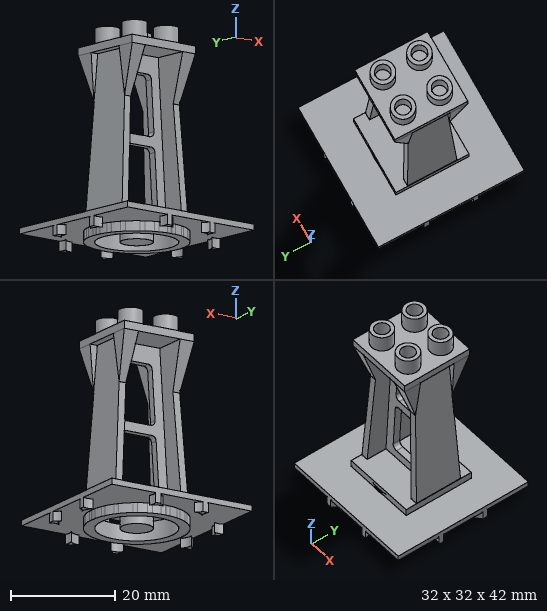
import cadquery as cq
import math

plate_side = 32.0
deck_side = plate_side / 2
step_length = 16.9
step_width = deck_side
wall = 1.6

plate_bottom = 1.97
plate_top = 3.2
step_top = plate_top + wall
total_height = 42.0
stud_height = 3.6
deck_top = total_height - stud_height
deck_bottom = deck_top - wall
flare_bottom = 27.17

stud_diameter = 4.9
stud_bore = 3.2
stud_pitch = deck_side / 2

inner_foot = 6.75
inner_head = 4.75
half_width_foot = 5.4
half_width_head = 4.1

window_margin = 2.0
window_height = 12.2
window_corner = 1.0
lower_window_bottom = 6.8
upper_window_bottom = 21.0

socket_diameter = 16.13
socket_top = 3.8
ring_diameter = 20.5
pin_diameter = 6.4
scallop_radius = stud_diameter / 2
scallop_circle_radius = math.hypot(stud_pitch / 2, 1.5 * stud_pitch)
scallop_angles = (3.0, 18.4, 34.5)
foot_start = 4.8
foot_end = 6.0
foot_depth = 2.15
foot_inner_offset = (-1.18, 1.18)


def at_height(foot_value, head_value, z):
    """Value at height z on a straight taper from the step to the deck."""
    return foot_value + (head_value - foot_value) * (z - step_top) / (deck_bottom - step_top)


def inner_face(z):
    return at_height(inner_foot, inner_head, z)


def half_width(z):
    return at_height(half_width_foot, half_width_head, z)


def block(length, width, bottom, top):
    return cq.Workplane("XY").workplane(offset=bottom).rect(length, width).extrude(top - bottom)


def cylinder(diameter, bottom, top):
    return cq.Workplane("XY").workplane(offset=bottom).circle(diameter / 2).extrude(top - bottom)


def trapezoid(plane, half_bottom, half_top, bottom, top, depth):
    """Symmetric upright trapezoid, extruded by depth to each side of the plane."""
    outline = [(-half_bottom, bottom), (half_bottom, bottom), (half_top, top), (-half_top, top)]
    return cq.Workplane(plane).polyline(outline).close().extrude(depth, both=True)


def side_walls():
    """Two leaning walls, tapered in both directions."""
    outer = trapezoid("XZ", inner_foot + wall, inner_head + wall, step_top, deck_bottom, plate_side)
    inner = trapezoid("XZ", inner_foot, inner_head, step_top, deck_bottom, plate_side)
    taper = trapezoid("YZ", half_width_foot, half_width_head, step_top, deck_bottom, plate_side)
    return outer.cut(inner).intersect(taper)


def web():
    """Central panel between the walls, with two rounded windows."""
    panel = trapezoid("XZ", inner_foot, inner_head, step_top, deck_bottom, wall / 2)
    for bottom in (lower_window_bottom, upper_window_bottom):
        top = bottom + window_height
        half_bottom = inner_face(bottom) - window_margin
        half_top = inner_face(top) - window_margin
        window = trapezoid("XZ", half_bottom, half_top, bottom, top, wall)
        panel = panel.cut(window.edges("|Y").fillet(window_corner))
    return panel


def flares():
    """Brackets spreading all four wall edges out to the deck corners."""
    spread = trapezoid("YZ", half_width(flare_bottom), deck_side / 2, flare_bottom, deck_bottom, plate_side)
    wall_span = trapezoid("YZ", half_width_foot, half_width_head, step_top, deck_bottom, plate_side)
    low_half_length = inner_face(flare_bottom) + wall
    outer = trapezoid("XZ", low_half_length, deck_side / 2, flare_bottom, deck_bottom, plate_side)
    inner = trapezoid("XZ", inner_foot, inner_head, step_top, deck_bottom, plate_side)
    return spread.cut(wall_span).intersect(outer).cut(inner)


def studs():
    places = cq.Workplane("XY").workplane(offset=deck_top).rarray(stud_pitch, stud_pitch, 2, 2)
    return places.circle(stud_diameter / 2).circle(stud_bore / 2).extrude(stud_height)


def scalloped_ring():
    """Ring under the plate with shallow upright grooves around its outside."""
    angles = [90 * quarter + sign * angle
              for quarter in range(4) for angle in scallop_angles for sign in (-1, 1)]
    centres = [(scallop_circle_radius * math.cos(math.radians(angle)),
                scallop_circle_radius * math.sin(math.radians(angle))) for angle in angles]
    ring = cylinder(ring_diameter, 0, plate_bottom)
    for centre in centres:
        scallop = cq.Workplane("XY").center(*centre).circle(scallop_radius).extrude(plate_bottom)
        ring = ring.cut(scallop)
    return ring


def foot():
    """Foot with three hollow sides on the -Y edge of the plate, at positive X."""
    edge = -plate_side / 2
    inner_point = (foot_start + foot_inner_offset[0], edge + foot_inner_offset[1])
    outline = (
        cq.Workplane("XY")
        .moveTo(foot_start, edge)
        .lineTo(foot_end, edge)
        .radiusArc((foot_end, edge + foot_depth), scallop_radius)
        .radiusArc(inner_point, scallop_radius)
        .radiusArc((foot_start, edge), scallop_radius)
        .close()
    )
    return outline.extrude(plate_bottom)


result = block(plate_side, plate_side, plate_bottom, plate_top)
result = result.union(block(step_length, step_width, plate_top, step_top))
result = result.union(scalloped_ring())
result = result.cut(cylinder(socket_diameter, 0, socket_top))
result = result.union(cylinder(pin_diameter, 0, socket_top))

for quarter in range(4):
    for one_foot in (foot(), foot().mirror("YZ")):
        result = result.union(one_foot.rotate((0, 0, 0), (0, 0, 1), 90 * quarter))

result = result.union(side_walls()).union(web())
result = result.union(block(deck_side, deck_side, deck_bottom, deck_top))
result = result.union(flares())
result = result.union(studs())